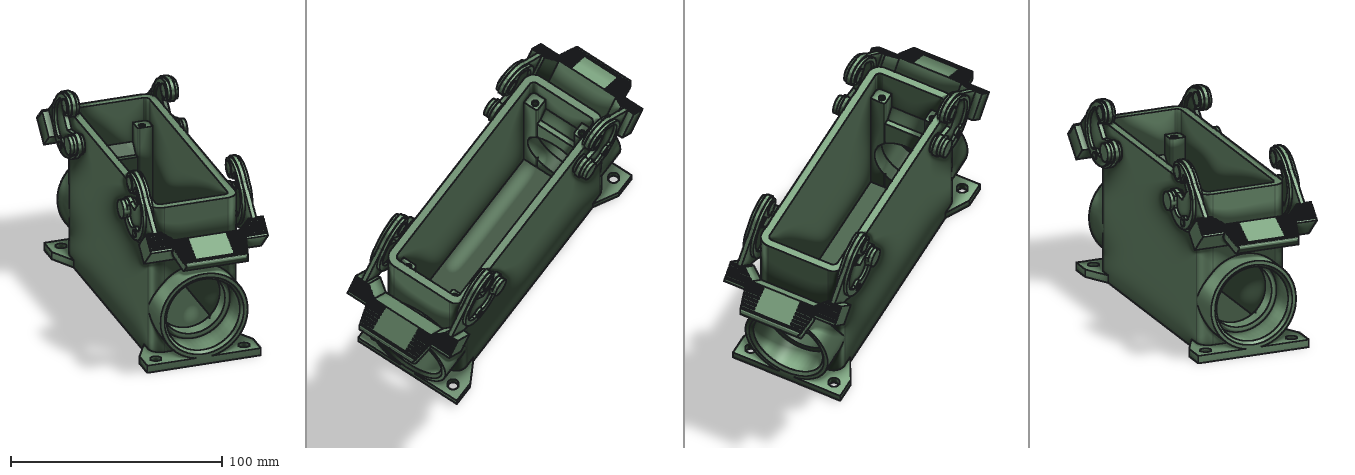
import cadquery as cq
import math

body_length = 121.0
body_width = 44.0
body_height = 79.6
body_corner_radius = 6.0
wall = 3.9
floor_thickness = 3.8
cavity_corner_radius = 2.4

foot_end_x = 72.0
foot_straight_x = 61.0
foot_inner_x = 49.0
foot_half_width = 28.6
foot_thickness = 3.8
foot_hole_diameter = 5.4
foot_hole_x = 66.0
foot_hole_y = 22.2

entry_radius = 22.0
entry_height = 25.4
entry_bore_radius = 18.5
entry_chamfer = 1.5
entry_passage_radius = 16.0
entry_shoulder_x = 56.8

post_length = 7.1
post_width = 7.6
post_top = 67.5
post_hole_diameter = 2.2
post_countersink_diameter = 3.2
post_hole_depth = 15.0
post_edge_radius = 1.0
post_hole_x = 52.2
post_hole_y = 13.5
web_ledge_top = 52.5
web_wall_top = 57.5

hook_centre_x = -48.5
hook_centre_z = 75.2
lever_mid_y = 24.9
web_thickness = 2.3
flange_thickness = 5.4
pin_length = 6.4
flange_inset = 0.8
hook_radius = 14.9
pocket_radius = 12.5
catch_centre = (3.3, 12.3)
catch_radius = 5.65
catch_pin_radius = 3.5
pivot_centre = (11.4, -4.7)
pivot_radius = 5.4
pivot_pin_radius = 4.5
rivet_centre = (-3.3, -11.2)
rivet_radius = 1.8
lever_half_width = 29.5

handle_depth = 9.9
handle_height = 13.9
handle_corner = (-72.6, 73.2)
saddle_drop = 5.0
saddle_floor_half = 16.5
saddle_mouth_half = 22.2
tab_angle = math.radians(28)
lever_reach = 89.99
tab_thickness = 4.3
tab_tip_half_width = 15.6
tab_tip_corner_radius = 2.0
tab_tip_edge_radius = 1.2
tab_tip_x = -lever_reach - tab_tip_edge_radius * (math.cos(tab_angle) + math.sin(tab_angle) - 1)
tab_root_half_width = 18.3
grip_pad_half_width = 9.8
grip_pad_margin = 2.9
groove_pitch = 1.8
groove_width = 0.8
groove_depth = 0.5

cavity_half_length = body_length / 2 - wall
cavity_half_width = body_width / 2 - wall
diagonal = math.sqrt(0.5)


def mirrored_pair(solid, plane):
    return solid.union(solid.mirror(plane))


def polar(centre, radius, degrees):
    """Point on a circle."""
    angle = math.radians(degrees)
    return (centre[0] + radius * math.cos(angle), centre[1] + radius * math.sin(angle))


def y_slab(sketch_on, y_from, y_to):
    """Extrude an XZ profile between two Y positions."""
    return sketch_on.extrude(y_from - y_to).translate((0, y_from, 0))


def xz():
    return cq.Workplane("XZ")


def make_shell():
    outer = cq.Workplane("XY").rect(body_length, body_width).extrude(body_height)
    return outer.edges("|Z").fillet(body_corner_radius)


def make_cavity():
    cavity = (
        cq.Workplane("XY")
        .workplane(offset=floor_thickness)
        .rect(2 * cavity_half_length, 2 * cavity_half_width)
        .extrude(body_height)
    )
    return cavity.edges("|Z").fillet(cavity_corner_radius)


def make_foot():
    foot = (
        cq.Workplane("XY")
        .polyline([
            (-foot_end_x, -foot_half_width),
            (-foot_straight_x, -foot_half_width),
            (-foot_inner_x, -body_width / 2),
            (-foot_inner_x, body_width / 2),
            (-foot_straight_x, foot_half_width),
            (-foot_end_x, foot_half_width),
        ])
        .close()
        .extrude(foot_thickness)
    )
    holes = (
        cq.Workplane("XY")
        .pushPoints([(-foot_hole_x, -foot_hole_y), (-foot_hole_x, foot_hole_y)])
        .circle(foot_hole_diameter / 2)
        .extrude(foot_thickness)
    )
    return foot.cut(holes)


def entry_cylinder(radius, x_from, x_to):
    return (
        cq.Workplane("YZ", origin=(x_from, 0, 0))
        .center(0, entry_height)
        .circle(radius)
        .extrude(x_to - x_from)
    )


def make_entry_bore():
    bore = entry_cylinder(entry_bore_radius, -foot_end_x, -entry_shoulder_x)
    passage_end_x = -cavity_half_length + post_length
    passage = entry_cylinder(entry_passage_radius, -foot_end_x, passage_end_x)
    mouth = (
        cq.Workplane("YZ", origin=(-foot_end_x, 0, 0))
        .center(0, entry_height)
        .circle(entry_bore_radius + entry_chamfer)
        .workplane(offset=entry_chamfer)
        .circle(entry_bore_radius)
        .loft()
    )
    return bore.union(passage).union(mouth)


def make_posts():
    """Two screw posts at the -X end and the sloped web between them."""
    post_inner_x = -cavity_half_length + post_length
    post_inner_y = cavity_half_width - post_width
    post = (
        cq.Workplane("XY")
        .box(post_length, post_width, post_top, centered=False)
        .translate((-cavity_half_length, post_inner_y, 0))
        .edges("|Z and >X and <Y")
        .fillet(post_edge_radius)
    )
    hole = (
        cq.Workplane("XY")
        .center(-post_hole_x, post_hole_y)
        .circle(post_hole_diameter / 2)
        .extrude(post_hole_depth)
        .translate((0, 0, post_top - post_hole_depth))
    )
    countersink_depth = (post_countersink_diameter - post_hole_diameter) / 2
    countersink = (
        cq.Workplane("XY", origin=(-post_hole_x, post_hole_y, post_top))
        .circle(post_countersink_diameter / 2)
        .workplane(offset=-countersink_depth)
        .circle(post_hole_diameter / 2)
        .loft()
    )
    web_profile = xz().polyline([
        (-cavity_half_length, 0),
        (post_inner_x, 0),
        (post_inner_x, web_ledge_top),
        (-post_hole_x, web_ledge_top),
        (-cavity_half_length, web_wall_top),
    ]).close()
    web = y_slab(web_profile, -post_inner_y, post_inner_y)
    posts = mirrored_pair(post.cut(hole).cut(countersink), "XZ")
    return posts.union(web)


def make_housing():
    cavity = make_cavity()
    posts = make_posts().intersect(cavity)
    corner_start_x = -body_length / 2 + body_corner_radius
    ends = make_foot().union(entry_cylinder(entry_radius, -foot_end_x, corner_start_x))
    housing = make_shell().union(mirrored_pair(ends, "YZ")).cut(cavity)
    housing = housing.union(mirrored_pair(posts, "YZ"))
    return housing.cut(mirrored_pair(make_entry_bore(), "YZ"))


def along_lever(point, forward, outward):
    """Offset a point along and across the 45 degree lever direction."""
    return (
        point[0] + (forward - outward) * diagonal,
        point[1] + (forward + outward) * diagonal,
    )


def hook_plane():
    return cq.Workplane("XZ", origin=(hook_centre_x, 0, hook_centre_z))


def lever_outline():
    """Arm, upper catch, mouth and pivot lobe of the lever side plate."""
    arm_top = (handle_corner[0] - hook_centre_x, handle_corner[1] - hook_centre_z)
    arm_bottom = along_lever(arm_top, 0, -handle_height)
    return (
        hook_plane()
        .moveTo(*arm_top)
        .lineTo(-10.8, 10.8)
        .threePointArc((-3.3, 16.8), polar(catch_centre, catch_radius, 90))
        .threePointArc(polar(catch_centre, catch_radius, 0), polar(catch_centre, catch_radius, 215))
        .lineTo(-3.7, 12.2)
        .lineTo(-5.1, 11.7)
        .lineTo(-1.4, 7.8)
        .lineTo(-3.7, 4.4)
        .lineTo(1.7, -1.4)
        .lineTo(*polar(pivot_centre, pivot_radius, 125))
        .threePointArc(polar(pivot_centre, pivot_radius, 30), polar(pivot_centre, pivot_radius, 300))
        .threePointArc((-0.5, -15.9), (-12.0, -12.4))
        .lineTo(*arm_bottom)
        .close()
    )


def centred_layer(profile, thickness):
    """Side-plate layer centred on the -Y lever plate."""
    half = thickness / 2
    return y_slab(profile, -lever_mid_y - half, -lever_mid_y + half)


def hook_disc(centre, radius, thickness):
    return centred_layer(hook_plane().center(*centre).circle(radius), thickness)


def make_flange():
    """Thicker layer of the plate, around the hook only."""
    zone = (
        hook_disc((0, 0), hook_radius, flange_thickness)
        .union(hook_disc(catch_centre, hook_radius, flange_thickness))
        .union(hook_disc(pivot_centre, pivot_radius, flange_thickness))
    )
    return centred_layer(lever_outline().offset2D(-flange_inset), flange_thickness).intersect(zone)


def make_hook_pocket():
    """Crescent region inside the hook where only the thin web remains."""
    crescent = (
        hook_plane()
        .moveTo(-4.6, 12.0)
        .threePointArc(polar((0, 0), pocket_radius, 171), (-7.5, -8.5))
        .lineTo(-5.5, -8.7)
        .threePointArc((-3.3, -7.9), (-0.8, -9.4))
        .threePointArc((3.2, -9.9), (7.1, -7.1))
        .lineTo(7.1, -0.2)
        .lineTo(1.7, -0.2)
        .lineTo(-3.0, 4.6)
        .lineTo(-0.7, 8.0)
        .close()
    )
    return centred_layer(crescent, flange_thickness)


def make_side_plate():
    flange = make_flange().cut(make_hook_pocket())
    plate = centred_layer(lever_outline(), web_thickness).union(flange)
    plate = plate.union(hook_disc(catch_centre, catch_pin_radius, pin_length))
    plate = plate.union(hook_disc(rivet_centre, rivet_radius, pin_length))
    pivot = y_slab(
        hook_plane().center(*pivot_centre).circle(pivot_pin_radius),
        -lever_half_width,
        -cavity_half_width - wall / 2,
    )
    return plate.union(pivot)


def make_handle_bar():
    """Full-width 45 degree bar, cut back between the side plates."""
    back_corner = along_lever(handle_corner, -handle_depth, 0)
    bar_profile = xz().polyline([
        handle_corner,
        along_lever(handle_corner, 0, -handle_height),
        along_lever(back_corner, 0, -handle_height),
        back_corner,
    ]).close()
    bar = y_slab(bar_profile, -lever_half_width, lever_half_width)
    saddle_plane = cq.Plane(
        origin=(handle_corner[0], 0, handle_corner[1]), xDir=(0, -1, 0), normal=(-1, 0, 1)
    )
    saddle = (
        cq.Workplane(saddle_plane)
        .polyline([
            (-saddle_mouth_half, 0),
            (-saddle_floor_half, -saddle_drop),
            (saddle_floor_half, -saddle_drop),
            (saddle_mouth_half, 0),
        ])
        .close()
        .extrude(2 * handle_height, both=True)
    )
    return bar.cut(saddle)


def make_tab():
    """Thumb tab sloping down from the handle, narrower at its tip."""
    root = along_lever(handle_corner, -saddle_drop, 0)
    reach = (root[0] - tab_tip_x) / math.cos(tab_angle)
    under = (tab_thickness * math.sin(tab_angle), -tab_thickness * math.cos(tab_angle))
    tip = (tab_tip_x, root[1] - reach * math.sin(tab_angle))
    profile = xz().polyline([
        root,
        (root[0] + under[0], root[1] + under[1]),
        (tip[0] + under[0], tip[1] + under[1]),
        tip,
    ]).close()
    tab = y_slab(profile, -tab_root_half_width, tab_root_half_width)
    tab = tab.edges("|Y and <X").fillet(tab_tip_edge_radius)
    tab = tab.edges("|Y and <Z").fillet(tab_tip_edge_radius)
    bar_edge_x = along_lever(handle_corner, -handle_depth, 0)[0]
    outline = (
        cq.Workplane("XY")
        .polyline([
            (tab_tip_x, -tab_tip_half_width),
            (bar_edge_x, -tab_root_half_width),
            (root[0] + tab_thickness, -tab_root_half_width),
            (root[0] + tab_thickness, tab_root_half_width),
            (bar_edge_x, tab_root_half_width),
            (tab_tip_x, tab_tip_half_width),
        ])
        .close()
        .extrude(body_height + hook_radius)
        .edges("|Z and <X")
        .fillet(tab_tip_corner_radius)
    )
    return tab.intersect(outline)


def groove_row(start, slope, length):
    """Full-width grooves sunk into a face falling from start towards -X at a slope angle."""
    face = cq.Plane(
        origin=(start[0], 0, start[1]),
        xDir=(-math.cos(slope), 0, -math.sin(slope)),
        normal=(-math.sin(slope), 0, math.cos(slope)),
    )
    count = int(length / groove_pitch)
    positions = [((index + 0.5) * groove_pitch, 0) for index in range(count)]
    return (
        cq.Workplane(face)
        .pushPoints(positions)
        .rect(groove_width, 2 * lever_half_width)
        .extrude(groove_depth, both=True)
    )


def make_grip_grooves():
    """Grip grooves over the bar and the tab, leaving a smooth pad in the middle."""
    tab_start = along_lever(handle_corner, -saddle_drop, 0)
    tab_length = (tab_start[0] - tab_tip_x) / math.cos(tab_angle)
    smooth_end_x = tab_tip_x + grip_pad_margin
    smooth_pad = (
        cq.Workplane("XY")
        .rect(tab_start[0] - smooth_end_x, 2 * grip_pad_half_width)
        .extrude(body_height)
        .translate(((tab_start[0] + smooth_end_x) / 2, 0, 0))
    )
    grooves = groove_row(handle_corner, math.pi / 4, handle_depth)
    grooves = grooves.union(groove_row(tab_start, tab_angle, tab_length))
    return grooves.cut(smooth_pad)


def make_lever():
    plates = mirrored_pair(make_side_plate(), "XZ")
    handle = make_handle_bar().union(make_tab()).cut(make_grip_grooves())
    return plates.union(handle)


levers = mirrored_pair(make_lever(), "YZ")
result = make_housing().union(levers)